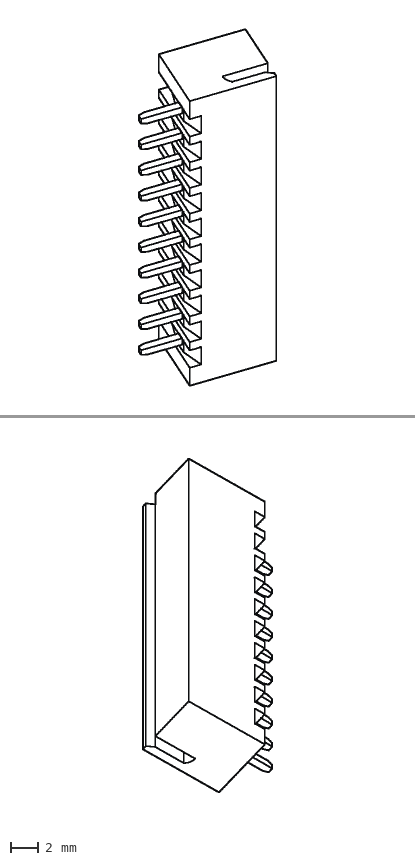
import cadquery as cq
import math

housing_width = 5.75
housing_depth = 7.0
housing_height = 28.12

pin_count = 10
pin_row_length = 22.83
pin_pitch = pin_row_length / (pin_count - 1)
pin_x = 0.53

pin_width = 0.62
pin_length = 3.0
tip_length = 0.48
tip_width = 0.45

pocket_height = 1.72
pocket_edge_depth = 0.93
land_depth = 0.28
land_width = 1.12

slot_width = 0.85
slot_depth = 3.65
slot_corner_rise = 0.42
lip_thickness = 0.73
lip_bevel_width = 0.35
lip_bevel_depth = 0.62

left_side = -housing_width / 2
right_side = housing_width / 2
bottom = -housing_height / 2
pin_heights = [(i - (pin_count - 1) / 2) * pin_pitch for i in range(pin_count)]


def make_housing():
    block = cq.Workplane("XY").box(housing_width, housing_depth, housing_height)
    return block.translate((0, housing_depth / 2, 0))


def make_lip_slot():
    slot_right = right_side - lip_thickness
    slot_left = slot_right - slot_width
    slot_floor = housing_depth - slot_depth

    corner_radius = (slot_width**2 + slot_corner_rise**2) / (2 * slot_corner_rise)
    half_angle = math.asin(slot_width / corner_radius) / 2
    arc_middle = (
        slot_left + corner_radius * math.sin(half_angle),
        slot_floor + corner_radius * (1 - math.cos(half_angle)),
    )
    return (
        cq.Workplane("XY", origin=(0, 0, bottom))
        .moveTo(slot_left, housing_depth)
        .lineTo(slot_left, slot_floor)
        .threePointArc(arc_middle, (slot_right, slot_floor + slot_corner_rise))
        .lineTo(slot_right, housing_depth - lip_bevel_depth)
        .lineTo(slot_right + lip_bevel_width, housing_depth)
        .close()
        .extrude(housing_height)
    )


def make_pocket(height):
    outline = [
        (left_side, 0),
        (left_side, pocket_edge_depth),
        (pin_x - land_width / 2, land_depth),
        (pin_x + land_width / 2, land_depth),
        (right_side, pocket_edge_depth),
        (right_side, 0),
    ]
    return (
        cq.Workplane("XY", origin=(0, 0, height - pocket_height / 2))
        .polyline(outline)
        .close()
        .extrude(pocket_height)
    )


def make_pin(height):
    shank_end = tip_length - pin_length
    shank = (
        cq.Workplane("XZ", origin=(pin_x, land_depth, height))
        .rect(pin_width, pin_width)
        .extrude(land_depth - shank_end)
    )
    tip = (
        cq.Workplane("XZ", origin=(pin_x, shank_end, height))
        .rect(pin_width, pin_width)
        .workplane(offset=tip_length)
        .rect(tip_width, tip_width)
        .loft(ruled=True)
    )
    return shank.union(tip)


result = make_housing().cut(make_lip_slot())
for pin_height in pin_heights:
    result = result.cut(make_pocket(pin_height))
    result = result.union(make_pin(pin_height))